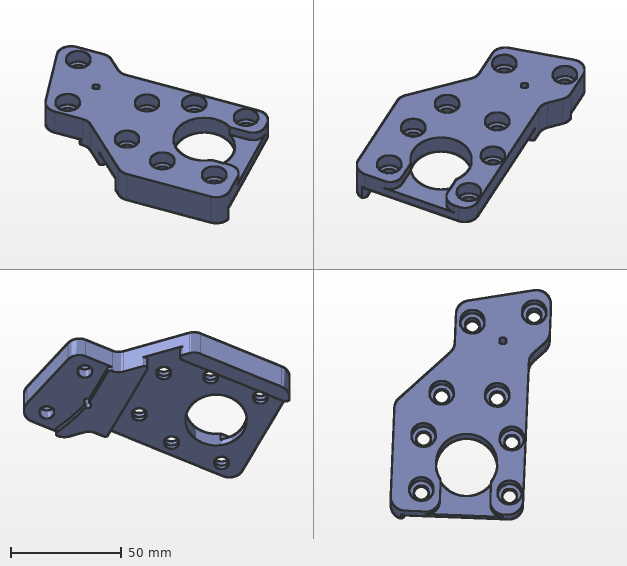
import cadquery as cq

TURN = 45
BORE_X = 80.8
BORE_Y = 57.0

TOP = 16.5
ARM_UNDERSIDE = 3.2
POCKET_ROOF = 7.1
RECESS_FLOOR = 11.8

END_X = 23.0
SIDE_TOP = 26.3
SIDE_BOTTOM = -33.9
ARM_TOP = 35.3
ARM_BOTTOM = -7.7
OUTLINE_RADIUS = 6.6
SHOULDER_TOP_X = -51.0
SHOULDER_BOTTOM_X = -53.6
ARM_TIP_TOP_X = -84.0
ARM_TIP_BOTTOM_X = -75.3

BORE_DIAMETER = 27.9
SCREW_DIAMETER = 6.7
HEAD_DIAMETER = 11.1
HEAD_DEPTH = 6.7
PIN_DIAMETER = 3.2
PIN = (-58.1, 14.2)
OUTER_SCREW_X = 12.6
OUTER_SCREW_Y = 20.1
INNER_SCREW_X = -32.7
INNER_SCREW_Y = 12.6
ARM_SCREWS = [(-72.1, 27.9), (-66.5, 0)]

RECESS_HALF_WIDTH = 11.5
RECESS_MOUTH_RADIUS = 6.0

POCKET_START_X = -42.5
RAIL_WIDTH = 6.7
RAIL_TIP_RADIUS = 2.6
ARM_STEP_RADIUS = 88.6
ARM_STEP_TOP_X = -65
CORNER_RADIUS = 1.4
MARGIN = 11.8
HEIGHT_TOLERANCE = 0.1


def prism(outline, bottom, top):
    """Raise a closed outline between two heights."""
    return outline.extrude(top - bottom).translate((0, 0, bottom))


def plate():
    top_shoulder_end = SHOULDER_TOP_X - (ARM_TOP - SIDE_TOP)
    bottom_shoulder_end = SHOULDER_BOTTOM_X + (ARM_BOTTOM - SIDE_BOTTOM)
    corners = [
        (END_X, SIDE_BOTTOM),
        (END_X, SIDE_TOP),
        (SHOULDER_TOP_X, SIDE_TOP),
        (top_shoulder_end, ARM_TOP),
        (ARM_TIP_TOP_X, ARM_TOP),
        (ARM_TIP_BOTTOM_X, ARM_BOTTOM),
        (SHOULDER_BOTTOM_X, ARM_BOTTOM),
        (bottom_shoulder_end, SIDE_BOTTOM),
    ]
    body = prism(cq.Workplane().polyline(corners).close(), 0, TOP)
    return body.edges("|Z").fillet(OUTLINE_RADIUS)


def pocket():
    """Pocket under the bearing bore, leaving a rail along the lower side."""
    rail_y = SIDE_BOTTOM + RAIL_WIDTH
    far_y = SIDE_TOP + MARGIN
    tip = RAIL_TIP_RADIUS
    outline = (
        cq.Workplane()
        .moveTo(POCKET_START_X, rail_y)
        .lineTo(END_X - tip, rail_y)
        .radiusArc((END_X, rail_y - tip), tip)
        .lineTo(END_X, far_y)
        .lineTo(POCKET_START_X, far_y)
        .close()
    )
    return prism(outline, 0, POCKET_ROOF)


def arm_step():
    """Shallow cut under the arm, with a straight and a curved edge meeting at the pin hole."""
    far_x = ARM_TIP_TOP_X - MARGIN
    outline = (
        cq.Workplane()
        .moveTo(far_x, ARM_BOTTOM - MARGIN)
        .lineTo(PIN[0], ARM_BOTTOM - MARGIN)
        .lineTo(*PIN)
        .radiusArc((ARM_STEP_TOP_X, ARM_TOP), -ARM_STEP_RADIUS)
        .lineTo(ARM_STEP_TOP_X, ARM_TOP + MARGIN)
        .lineTo(far_x, ARM_TOP + MARGIN)
        .close()
    )
    return prism(outline, 0, ARM_UNDERSIDE)


def top_recess():
    """Channel from the bore to the plate end, with a flared mouth."""
    mouth_x = END_X - RECESS_MOUTH_RADIUS
    mouth_y = RECESS_HALF_WIDTH + RECESS_MOUTH_RADIUS
    outline = (
        cq.Workplane()
        .moveTo(0, -RECESS_HALF_WIDTH)
        .lineTo(mouth_x, -RECESS_HALF_WIDTH)
        .radiusArc((END_X, -mouth_y), RECESS_MOUTH_RADIUS)
        .lineTo(END_X, mouth_y)
        .radiusArc((mouth_x, RECESS_HALF_WIDTH), RECESS_MOUTH_RADIUS)
        .lineTo(0, RECESS_HALF_WIDTH)
        .close()
    )
    return prism(outline, RECESS_FLOOR, TOP)


def holes(points, diameter, bottom=0):
    return prism(cq.Workplane().pushPoints(points).circle(diameter / 2), bottom, TOP)


def screw_points():
    points = list(ARM_SCREWS)
    for side in (-1, 1):
        points.append((INNER_SCREW_X, side * INNER_SCREW_Y))
        for end in (-1, 1):
            points.append((end * OUTER_SCREW_X, side * OUTER_SCREW_Y))
    return points


def round_underside_corners(body):
    """Round the short upright corners behind the bore; the rail tip has its own rounding."""
    for roof in (ARM_UNDERSIDE, POCKET_ROOF):
        reach = 2 * (abs(ARM_TIP_TOP_X) + MARGIN)
        middle = roof / 2
        slab = cq.selectors.BoxSelector(
            (-reach, -reach, middle - HEIGHT_TOLERANCE), (0, reach, middle + HEIGHT_TOLERANCE)
        )
        body = body.edges("|Z").edges(slab).fillet(CORNER_RADIUS)
    return body


body = round_underside_corners(plate().cut(pocket()).cut(arm_step()))
body = body.cut(top_recess())
body = body.cut(holes([(0, 0)], BORE_DIAMETER))
body = body.cut(holes([PIN], PIN_DIAMETER))
body = body.cut(holes(screw_points(), SCREW_DIAMETER))
body = body.cut(holes(screw_points(), HEAD_DIAMETER, TOP - HEAD_DEPTH))
result = body.rotate((0, 0, 0), (0, 0, 1), TURN).translate((BORE_X, BORE_Y, 0))